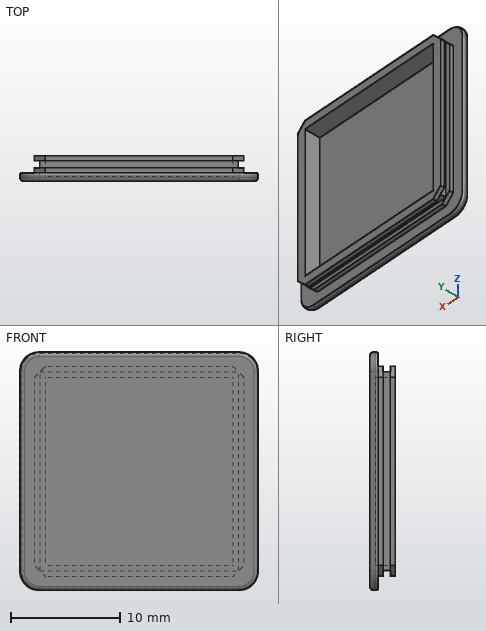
import cadquery as cq

plate_side = 21.85
plate_thickness = 0.79
corner_radius = 1.8
edge_radius = 0.4
edge_land = 0.13

flange_side = 19.22
flange_thickness = 0.45
flange_chamfer = 1.0
groove_side = flange_side - flange_chamfer
groove_width = 0.65

wall_thickness = 0.5
pocket_side = groove_side - 2 * wall_thickness
pocket_depth = plate_thickness + 2 * flange_thickness + groove_width - wall_thickness


def square_block(side, start, thickness):
    """Square block centred on the Y axis, from y = start towards +Y."""
    return cq.Workplane("XY").box(side, thickness, side).translate((0, start + thickness / 2, 0))


def make_plate():
    """Rounded plate whose back face cuts off part of the rear edge rounding."""
    full_thickness = 2 * edge_radius + edge_land
    plate = square_block(plate_side, 0, full_thickness).edges("|Y").fillet(corner_radius)
    plate = plate.faces("<Y or >Y").edges().fillet(edge_radius)
    return plate.intersect(square_block(plate_side, 0, plate_thickness))


def make_flange(start):
    return square_block(flange_side, start, flange_thickness).edges("|Y").chamfer(flange_chamfer)


groove_start = plate_thickness + flange_thickness
rear_flange_start = groove_start + groove_width

result = (
    make_plate()
    .union(make_flange(plate_thickness))
    .union(square_block(groove_side, groove_start, groove_width))
    .union(make_flange(rear_flange_start))
    .cut(square_block(pocket_side, wall_thickness, pocket_depth))
)